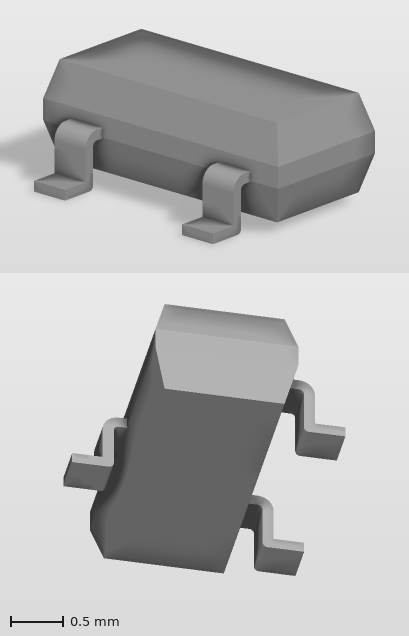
import cadquery as cq

body_length = 3.02
body_width = 1.4
taper_inset = 0.112
lower_height = 0.395
belt_height = 0.223
upper_height = 0.393

lead_span = 2.48
lead_width = 0.4
lead_thickness = 0.11
lead_top = 0.6
foot_length = 0.3
shoulder_radius = 0.157
heel_radius = 0.048
lead_embed = 0.15
lead_offset = 0.95

body_bottom = lead_thickness
belt_bottom = body_bottom + lower_height
belt_top = belt_bottom + belt_height


def make_half(start_z, height):
    """Frustum narrowing from the belt outline; a negative height goes down."""
    return (
        cq.Workplane("XY", origin=(0, 0, start_z))
        .rect(body_length, body_width)
        .workplane(offset=height)
        .rect(body_length - 2 * taper_inset, body_width - 2 * taper_inset)
        .loft(ruled=True)
    )


def make_body():
    belt = cq.Workplane("XY", origin=(0, 0, belt_bottom)).rect(body_length, body_width).extrude(belt_height)
    return belt.union(make_half(belt_top, upper_height)).union(make_half(belt_bottom, -lower_height))


def make_lead(center_x):
    """Bent strip leaving the -Y side of the body."""
    toe_y = -lead_span / 2
    shin_outer_y = toe_y + foot_length
    shin_inner_y = shin_outer_y + lead_thickness
    root_y = -body_width / 2 + lead_embed
    bend_y = shin_outer_y + shoulder_radius
    bend_z = lead_top - shoulder_radius
    inner_radius = shoulder_radius - lead_thickness
    diagonal = 0.5 ** 0.5
    shoulder_mid = (bend_y - shoulder_radius * diagonal, bend_z + shoulder_radius * diagonal)
    inner_mid = (bend_y - inner_radius * diagonal, bend_z + inner_radius * diagonal)
    heel_y = shin_inner_y - heel_radius
    heel_mid = (heel_y + heel_radius * diagonal, heel_radius - heel_radius * diagonal)
    return (
        cq.Workplane("YZ", origin=(center_x, 0, 0))
        .moveTo(toe_y, 0)
        .lineTo(heel_y, 0)
        .threePointArc(heel_mid, (shin_inner_y, heel_radius))
        .lineTo(shin_inner_y, bend_z)
        .threePointArc(inner_mid, (bend_y, lead_top - lead_thickness))
        .lineTo(root_y, lead_top - lead_thickness)
        .lineTo(root_y, lead_top)
        .lineTo(bend_y, lead_top)
        .threePointArc(shoulder_mid, (shin_outer_y, bend_z))
        .lineTo(shin_outer_y, lead_thickness)
        .lineTo(toe_y, lead_thickness)
        .close()
        .extrude(lead_width / 2, both=True)
    )


result = make_body()
for lead_x in (-lead_offset, lead_offset):
    result = result.union(make_lead(lead_x))

result = result.union(make_lead(0).rotate((0, 0, 0), (0, 0, 1), 180))